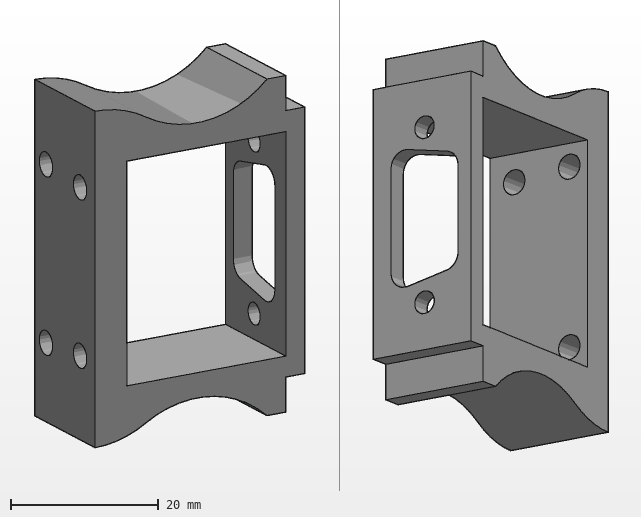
import cadquery as cq
import math

width = 16.0
height = 48.0
front_wall = 5.0
back_wall = 3.0
window_depth = 25.05
window_height = 32.0
step_height = 5.0
total_depth = front_wall + window_depth + back_wall
body_depth = front_wall + window_depth

concave_radius = 16.0
trough_y = 16.1
land_length = 3.0

front_hole_diameter = 3.5
front_hole_places = [(3.0, 12.7), (12.0, 12.0)]
back_hole_diameter = 3.15
back_hole_x = 7.6
back_hole_z = 12.35

opening_left = 2.1
opening_right = 13.05
opening_half_height_left = 8.0
opening_half_height_right = 10.2
opening_corner_radius = 2.3


def frame_body():
    """Frame with a back step and S-curved top and bottom."""
    half = height / 2
    step_z = half - step_height
    land_y = body_depth - land_length
    concave_z = half + math.sqrt(concave_radius ** 2 - (land_y - trough_y) ** 2)
    trough = (trough_y, concave_z - concave_radius)

    centre_height = concave_z - half
    convex_radius = (trough_y ** 2 + centre_height ** 2 - concave_radius ** 2) / (
        2 * (concave_radius - centre_height)
    )
    convex_z = half - convex_radius
    convex_angle = math.asin(trough_y / (convex_radius + concave_radius))

    def convex_point(angle):
        return (convex_radius * math.sin(angle), convex_z + convex_radius * math.cos(angle))

    convex_mid = convex_point(convex_angle / 2)
    tangent = convex_point(convex_angle)

    upper_half = (
        cq.Workplane("YZ")
        .moveTo(0, 0)
        .lineTo(0, half)
        .threePointArc(convex_mid, tangent)
        .threePointArc(trough, (land_y, half))
        .lineTo(body_depth, half)
        .lineTo(body_depth, step_z)
        .lineTo(total_depth, step_z)
        .lineTo(total_depth, 0)
        .close()
        .extrude(width)
    )
    return upper_half.union(upper_half.mirror("XY"))


def window():
    """Rectangular window through the whole width."""
    return (
        cq.Workplane("YZ")
        .center(front_wall + window_depth / 2, 0)
        .rect(window_depth, window_height)
        .extrude(width)
    )


def wall_plane(start_y):
    """XZ plane facing +Y, whose local axes are X and -Z."""
    return cq.Workplane(cq.Plane(origin=(0, start_y, 0), xDir=(1, 0, 0), normal=(0, 1, 0)))


def hole_pairs(places, diameter, start_y, depth):
    """Holes along Y, each repeated above and below mid height."""
    points = [(x, side * z) for x, z in places for side in (1, -1)]
    return wall_plane(start_y).pushPoints(points).circle(diameter / 2).extrude(depth)


def back_opening():
    """Rounded trapezoid through the back wall, taller towards +X."""
    return (
        wall_plane(body_depth)
        .polyline([
            (opening_left, -opening_half_height_left),
            (opening_right, -opening_half_height_right),
            (opening_right, opening_half_height_right),
            (opening_left, opening_half_height_left),
        ])
        .close()
        .extrude(back_wall)
        .edges("|Y")
        .fillet(opening_corner_radius)
    )


result = (
    frame_body()
    .cut(window())
    .cut(hole_pairs(front_hole_places, front_hole_diameter, 0, front_wall))
    .cut(hole_pairs([(back_hole_x, back_hole_z)], back_hole_diameter, body_depth, back_wall))
    .cut(back_opening())
)